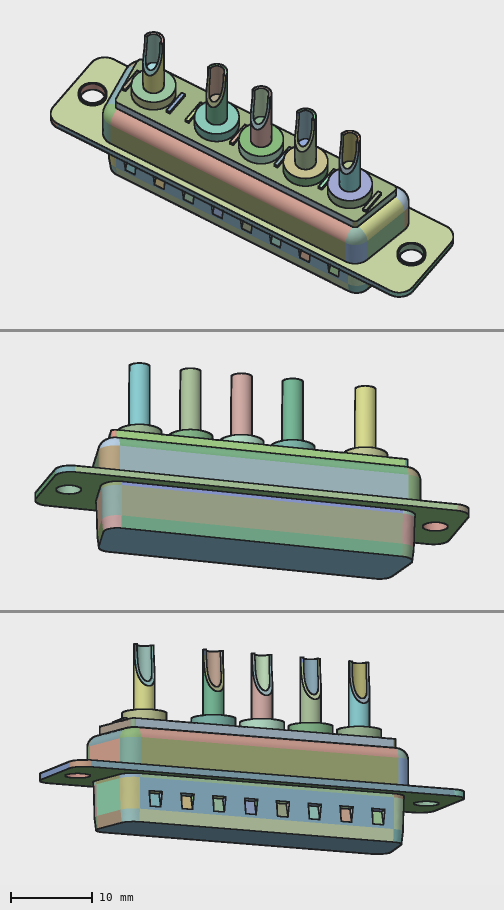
import cadquery as cq
import math


FLANGE_LENGTH = 53.04
FLANGE_WIDTH = 12.5
FLANGE_THICKNESS = 0.85
FLANGE_CORNER_RADIUS = 2.0
HOLE_SPACING = 47.04
HOLE_DIAMETER = 3.1
HOLE_RIM_DIAMETER = 3.5
HOLE_RIM_HEIGHT = 0.3

SIDE_ANGLE = 10.0
D_CORNER_RADIUS = 2.1

BODY_HALF_LENGTH = 20.06
BODY_WIDTH = 10.72
BODY_TOP = 5.9
BODY_FILLET = 1.5
PLINTH_INSET = 1.57
PLINTH_TOP = 7.05

SHELL_HALF_LENGTH = 19.7
SHELL_WIDTH = 9.3
SHELL_DEPTH = 6.0
ROOT_DEPTH = 0.45
ROOT_DRAFT = 8.0
WALL_DRAFT = 1.4
RIM_DEPTH = 1.6
RIM_DRAFT = 7.0

DIMPLE_COUNT = 8
DIMPLE_PITCH = 4.29
DIMPLE_TOP_WIDTH = 1.77
DIMPLE_BOTTOM_WIDTH = 1.45
DIMPLE_TOP = -2.05
DIMPLE_BOTTOM = -4.0
DIMPLE_RECESS = 0.45
DIMPLE_DRAFT = 30.0

CONTACT_PITCH = 6.55
GROUP_START = -5.2
GROUP_COUNT = 4
SINGLE_CONTACT_X = -14.53
CONTACT_POSITIONS = [SINGLE_CONTACT_X] + [GROUP_START + i * CONTACT_PITCH for i in range(GROUP_COUNT)]
COLLAR_DIAMETER = 5.5
COLLAR_TOP = 8.5
PIN_DIAMETER = 2.6
CUP_BORE_DIAMETER = 1.9
TOTAL_HEIGHT = 23.1
PIN_TOP = TOTAL_HEIGHT - SHELL_DEPTH
CUP_DEPTH = 5.4
CUP_CURVE_RADIUS = 9.2

BAR_WIDTH = 0.5
BAR_LENGTH = 3.4
BAR_HEIGHT = 0.33


def d_outline(half_length, width, corner_radius):
    """Rounded trapezoid, wider on its +Y side, lying at Z = 0 ready to extrude."""
    slant = width / 2 * math.tan(math.radians(SIDE_ANGLE))
    sketch = (
        cq.Sketch()
        .polygon(
            [
                (-half_length - slant, width / 2),
                (half_length + slant, width / 2),
                (half_length - slant, -width / 2),
                (-half_length + slant, -width / 2),
                (-half_length - slant, width / 2),
            ]
        )
        .vertices()
        .fillet(corner_radius)
    )
    return cq.Workplane("XY").placeSketch(sketch)


def disc(x, diameter, bottom, top):
    return cq.Workplane("XY", origin=(x, 0, bottom)).circle(diameter / 2).extrude(top - bottom)


def make_flange():
    flange = (
        cq.Workplane("XY")
        .rect(FLANGE_LENGTH, FLANGE_WIDTH)
        .extrude(FLANGE_THICKNESS)
        .edges("|Z")
        .fillet(FLANGE_CORNER_RADIUS)
    )
    rim_top = FLANGE_THICKNESS + HOLE_RIM_HEIGHT
    for x in (-HOLE_SPACING / 2, HOLE_SPACING / 2):
        flange = flange.union(disc(x, HOLE_RIM_DIAMETER, 0, rim_top))
        flange = flange.cut(disc(x, HOLE_DIAMETER, 0, rim_top))
    return flange


def make_body():
    body = d_outline(BODY_HALF_LENGTH, BODY_WIDTH, D_CORNER_RADIUS).extrude(BODY_TOP)
    body = body.faces(">Z").edges().fillet(BODY_FILLET)
    plinth_half_length = BODY_HALF_LENGTH - PLINTH_INSET / math.cos(math.radians(SIDE_ANGLE))
    plinth_width = BODY_WIDTH - 2 * PLINTH_INSET
    plinth_radius = D_CORNER_RADIUS - PLINTH_INSET
    plinth = d_outline(plinth_half_length, plinth_width, plinth_radius).extrude(PLINTH_TOP)
    return body.union(plinth)


def make_shell():
    root_outline = d_outline(SHELL_HALF_LENGTH, SHELL_WIDTH, D_CORNER_RADIUS)
    shell = root_outline.extrude(-ROOT_DEPTH, taper=ROOT_DRAFT)
    wall_depth = SHELL_DEPTH - ROOT_DEPTH - RIM_DEPTH
    for depth, draft in [(wall_depth, WALL_DRAFT), (RIM_DEPTH, RIM_DRAFT)]:
        lower_outline = shell.faces("<Z").wires().toPending().workplane()
        shell = shell.union(lower_outline.extrude(depth, taper=draft, combine=False))
    return shell


def shell_wall_y(z):
    """Y of the shell's -Y wall at height z, on the drafted stretch below the root."""
    root_inset = ROOT_DEPTH * math.tan(math.radians(ROOT_DRAFT))
    wall_inset = (-z - ROOT_DEPTH) * math.tan(math.radians(WALL_DRAFT))
    return -SHELL_WIDTH / 2 + root_inset + wall_inset


def make_dimple(x):
    """Pocket with drafted sides and a floor that rises from its deep top end to the wall."""
    top_y = shell_wall_y(DIMPLE_TOP)
    bottom_y = shell_wall_y(DIMPLE_BOTTOM)
    pocket = (
        cq.Workplane("XZ", origin=(x, top_y, 0))
        .polyline(
            [
                (-DIMPLE_TOP_WIDTH / 2, DIMPLE_TOP),
                (DIMPLE_TOP_WIDTH / 2, DIMPLE_TOP),
                (DIMPLE_BOTTOM_WIDTH / 2, DIMPLE_BOTTOM),
                (-DIMPLE_BOTTOM_WIDTH / 2, DIMPLE_BOTTOM),
            ]
        )
        .close()
        .extrude(-DIMPLE_RECESS, taper=DIMPLE_DRAFT)
    )
    wedge = (
        cq.Workplane("YZ", origin=(x, 0, 0))
        .polyline(
            [
                (top_y, DIMPLE_TOP),
                (top_y + DIMPLE_RECESS, DIMPLE_TOP),
                (bottom_y, DIMPLE_BOTTOM),
                (top_y, DIMPLE_BOTTOM),
            ]
        )
        .close()
        .extrude(DIMPLE_TOP_WIDTH / 2, both=True)
    )
    return pocket.intersect(wedge)


def make_dimples():
    dimples = cq.Workplane("XY")
    for i in range(DIMPLE_COUNT):
        x = (i - (DIMPLE_COUNT - 1) / 2) * DIMPLE_PITCH
        dimples = dimples.union(make_dimple(x))
    return dimples


def make_contact(x):
    """Collar and pin whose -Y side is cut away along an arc, opening the cup."""
    radius = PIN_DIAMETER / 2
    curve_height = math.sqrt(CUP_CURVE_RADIUS**2 - (CUP_CURVE_RADIUS - radius) ** 2)
    cup_bottom = PIN_TOP - CUP_DEPTH
    curve_top = cup_bottom + curve_height
    opening = (
        cq.Workplane("YZ", origin=(x, 0, 0))
        .moveTo(0, PIN_TOP)
        .lineTo(0, curve_top)
        .radiusArc((-radius, cup_bottom), CUP_CURVE_RADIUS)
        .lineTo(-radius, PIN_TOP)
        .close()
        .extrude(radius, both=True)
    )
    collar = disc(x, COLLAR_DIAMETER, PLINTH_TOP, COLLAR_TOP)
    pin = disc(x, PIN_DIAMETER, PLINTH_TOP, PIN_TOP)
    bore = disc(x, CUP_BORE_DIAMETER, cup_bottom, PIN_TOP)
    return collar.union(pin.cut(opening).cut(bore))


def make_bars(x):
    return (
        cq.Workplane("XY", origin=(x, 0, PLINTH_TOP))
        .pushPoints([(-CONTACT_PITCH / 2, 0), (CONTACT_PITCH / 2, 0)])
        .rect(BAR_WIDTH, BAR_LENGTH)
        .extrude(BAR_HEIGHT)
    )


result = make_flange().union(make_body()).union(make_shell().cut(make_dimples()))
for contact_x in CONTACT_POSITIONS:
    result = result.union(make_contact(contact_x)).union(make_bars(contact_x))